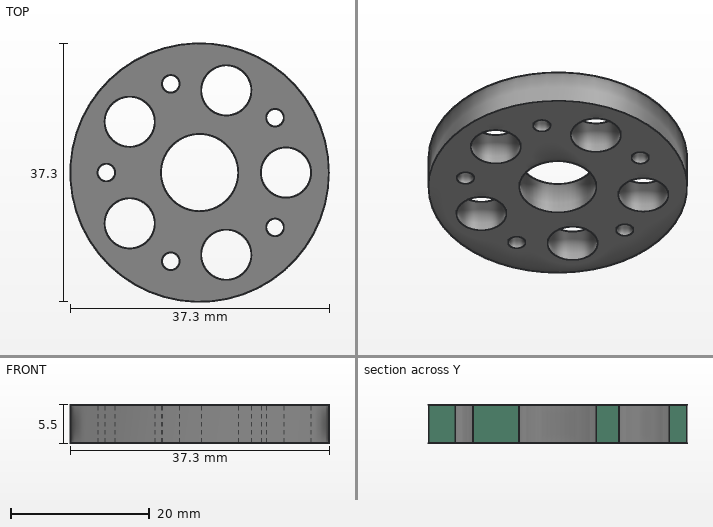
import cadquery as cq

disc_diameter = 37.3
disc_thickness = 5.5
bore_diameter = 11.1

holes_per_ring = 5
hole_pitch_angle = 360 / holes_per_ring
large_hole_diameter = 7.2
large_ring_radius = 12.45
small_hole_diameter = 2.5
small_ring_radius = 13.44


def make_disc():
    """Round plate standing on the XY plane, with its central bore."""
    return (
        cq.Workplane("XY")
        .circle(disc_diameter / 2)
        .circle(bore_diameter / 2)
        .extrude(disc_thickness)
    )


def cut_hole_ring(body, ring_radius, hole_diameter, start_angle):
    """Cut evenly spaced through holes on a circle around the disc axis."""
    holes = (
        cq.Workplane("XY")
        .polarArray(ring_radius, start_angle, 360, holes_per_ring)
        .circle(hole_diameter / 2)
        .extrude(disc_thickness)
    )
    return body.cut(holes)


result = make_disc()
result = cut_hole_ring(result, large_ring_radius, large_hole_diameter, 0)
result = cut_hole_ring(result, small_ring_radius, small_hole_diameter, hole_pitch_angle / 2)